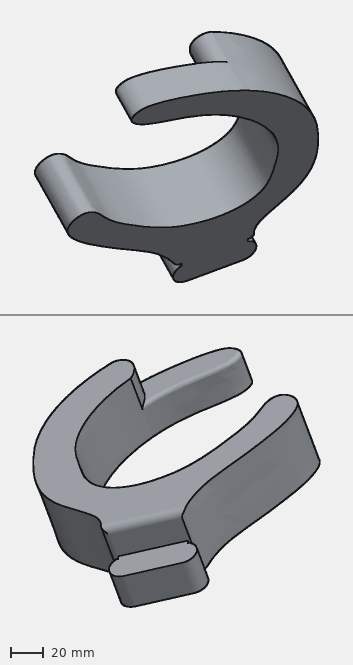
import cadquery as cq


BODY_WIDTH = 48.0
STEP_X = 23.0
THIN_WIDTH = BODY_WIDTH - STEP_X

FOOT_RADIUS = 9.35
FOOT_LENGTH = 55.6
WEB_WIDTH = 44.0

BASE_Z = 19.9
BASE_BACK_Y = 26.2
BASE_FRONT_Y = -27.5
BASE_CORNER = 3.8
BASE_EDGE_RADIUS = 5.0

BACK_Y = 69.0
BACK_Z = 97.0
HORN_TOP = (-39.5, 196.52)
HORN_TIP = (-55.5, 189.3)
HORN_EDGE_RADIUS = 2.5
ARM_TOP = (-85.2, 109.6)
ARM_TIP = (-98.05, 98.9)
THROAT_BACK = (42.3, 103.0)
THROAT_BOTTOM = (6.0, 55.1)

CAP_START = (19.5, 176.6)
CAP_ARC_MID = (9.1, 175.4)
CAP_FACE_Y = 5.2
CAP_FACE_TOP = 167.8
CAP_FACE_BOTTOM = 164.8
CAP_HEEL_MID = (5.9, 160.7)
CAP_END = (8.0, 156.8)


def body_outline():
    """Closed profile of the C body with both arms, walked from the back of the base."""
    base_back = (BASE_BACK_Y, BASE_Z + BASE_CORNER)
    base_front = (BASE_FRONT_Y, BASE_Z + BASE_CORNER)
    back_of_body = [
        (28.0, 31.0), (33.2, 37.0), (45.9, 47.1), (57.2, 57.8), (65.3, 72.0), (BACK_Y, BACK_Z),
        (67.0, 118.2), (60.1, 136.3), (47.7, 153.8), (32.3, 168.0), (15.7, 178.7),
    ]
    horn = [
        (-3.0, 187.1), (-20.0, 192.6), HORN_TOP, (-50.3, 195.2), HORN_TIP, (-51.5, 182.4),
        (-44.4, 178.3), (-26.7, 173.0), (-8.9, 166.8),
    ]
    throat = [
        (7.4, 157.7), (24.0, 143.1), (36.0, 125.8), THROAT_BACK,
        (39.9, 86.0), (31.5, 65.6), (20.0, 58.0), THROAT_BOTTOM,
    ]
    lower_arm = [
        (-10.0, 56.2), (-26.7, 61.1), (-44.7, 71.4), (-59.0, 82.5), (-72.4, 96.7), (-78.7, 105.9),
        ARM_TOP, (-94.2, 106.3), ARM_TIP, (-93.3, 86.6), (-79.1, 72.0),
        (-56.6, 54.4), (-42.4, 43.5), (-33.4, 33.6),
    ]
    outline = cq.Workplane("YZ").moveTo(*base_back)
    outline = outline.spline(
        back_of_body + horn + throat + lower_arm + [base_front], includeCurrent=True
    )
    outline = outline.tangentArcPoint((BASE_FRONT_Y + BASE_CORNER, BASE_Z), relative=False)
    outline = outline.lineTo(BASE_BACK_Y - BASE_CORNER, BASE_Z)
    outline = outline.tangentArcPoint(base_back, relative=False)
    return outline.close()


def horn_region():
    """Area of the profile beyond the rounded end cap, holding only the horn."""
    clear_front = HORN_TIP[0] - HORN_EDGE_RADIUS
    clear_top = HORN_TOP[1] + HORN_EDGE_RADIUS
    clear_bottom = CAP_END[1] - HORN_EDGE_RADIUS
    return (
        cq.Workplane("YZ")
        .moveTo(CAP_START[0], clear_top)
        .lineTo(*CAP_START)
        .threePointArc(CAP_ARC_MID, (CAP_FACE_Y, CAP_FACE_TOP))
        .lineTo(CAP_FACE_Y, CAP_FACE_BOTTOM)
        .threePointArc(CAP_HEEL_MID, CAP_END)
        .lineTo(CAP_END[0], clear_bottom)
        .lineTo(clear_front, clear_bottom)
        .lineTo(clear_front, clear_top)
        .close()
    )


def make_body():
    """C body at full width, without the horn and with its lower X = 0 edge rounded."""
    body = body_outline().extrude(BODY_WIDTH).cut(horn_region().extrude(BODY_WIDTH))
    edge_waste = (
        cq.Workplane("XZ", origin=(0, BACK_Y, 0))
        .moveTo(0, BASE_Z)
        .lineTo(0, BASE_Z + BASE_EDGE_RADIUS)
        .radiusArc((BASE_EDGE_RADIUS, BASE_Z), -BASE_EDGE_RADIUS)
        .close()
        .extrude(BACK_Y - ARM_TIP[0])
    )
    return body.cut(edge_waste)


def make_horn():
    """Thin horn with the edge of its stepped-back face rounded, reaching into the body."""
    layer = body_outline().extrude(THIN_WIDTH).translate((STEP_X, 0, 0))
    upper_size = 2 * HORN_TOP[1]
    upper_half = cq.Workplane("XY", origin=(0, 0, ARM_TOP[1] + HORN_EDGE_RADIUS)).box(
        upper_size, upper_size, upper_size, centered=(True, True, False)
    )
    layer = layer.intersect(upper_half)
    layer = layer.faces("<X").edges("not |Y").fillet(HORN_EDGE_RADIUS)
    return layer.intersect(horn_region().extrude(BODY_WIDTH))


def make_foot():
    """Rounded bar under the body and the web that carries it."""
    bar = (
        cq.Workplane("YZ", origin=(STEP_X, 0, FOOT_RADIUS))
        .slot2D(FOOT_LENGTH, 2 * FOOT_RADIUS)
        .extrude(THIN_WIDTH)
    )
    web_height = BASE_Z + BASE_EDGE_RADIUS - FOOT_RADIUS
    web = cq.Workplane("XY").box(THIN_WIDTH, WEB_WIDTH, web_height, centered=(False, True, False))
    return bar.union(web.translate((STEP_X, 0, FOOT_RADIUS)))


result = make_body().union(make_horn()).union(make_foot())